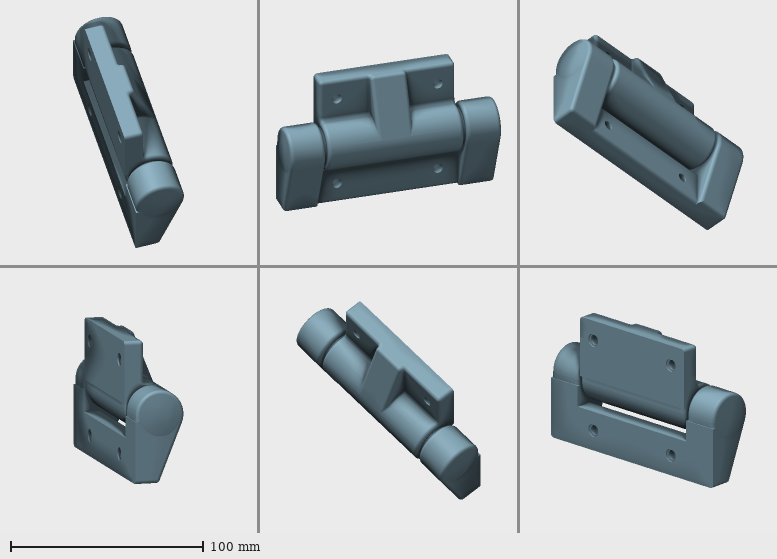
import cadquery as cq
import math

barrel_radius = 13.0
mount_face_y = -13.5
leaf_reach = 36.0
step_height = 3.0
edge_radius = 2.0

knuckle_leaf_length = 115.0
barrel_leaf_length = 74.0
pivot_gap = 1.5
notch_width = barrel_leaf_length + 2 * pivot_gap
notch_floor = -barrel_radius - pivot_gap
knuckle_width = (knuckle_leaf_length - notch_width) / 2
plate_thickness = 10.5
plate_back_y = mount_face_y + plate_thickness

rib_width = 19.5
rib_root_radius = 1.0
barrel_root_radius = 2.0

bushing_radius = 10.0
cap_radius = barrel_radius - edge_radius
total_length = 117.0
cap_height = (total_length - knuckle_leaf_length) / 2

hole_spacing = 55.0
hole_height = 25.0
hole_diameter = 5.3
counterbore_diameter = 7.0
counterbore_depth = 1.0

slope_angle = math.radians(22)
slope_end_y = (barrel_radius - leaf_reach * math.sin(slope_angle)) / math.cos(slope_angle)
tangent_y = barrel_radius * math.cos(slope_angle)
tangent_z = barrel_radius * math.sin(slope_angle)

sides = (-1, 1)

tolerance = 0.01


def extrude_along_pivot(outline, length):
    """Close a YZ outline and extrude it evenly to both sides of the middle plane."""
    return outline.close().extrude(length / 2, both=True)


def near(value, target):
    return abs(value - target) < tolerance


def pick_edges(body, test):
    """Select the edges whose centre and bounding box pass the test."""
    chosen = [edge for edge in body.edges().vals() if test(edge.Center(), edge.BoundingBox())]
    return body.newObject(chosen)


def lies_across(box, x):
    """True for an edge lying in either of the two planes at +x and -x."""
    return near(box.xmin, box.xmax) and near(abs(box.xmin), x)


def drill_mounting_holes(leaf, hole_z):
    """Two counterbored holes through the leaf, opening on the mounting face."""
    for end in sides:
        x = end * hole_spacing / 2
        mount_plane = cq.Plane((x, mount_face_y, hole_z), xDir=(1, 0, 0), normal=(0, -1, 0))
        through = cq.Workplane(mount_plane).circle(hole_diameter / 2).extrude(-2 * leaf_reach)
        counterbore = cq.Workplane(mount_plane).circle(counterbore_diameter / 2).extrude(-counterbore_depth)
        leaf = leaf.cut(through).cut(counterbore)
    return leaf


def make_step_corner(side):
    """Block that keeps the mounting face square below the step, where the knuckle's end rounding stops."""
    depth = -cap_radius - mount_face_y
    height = 2 * edge_radius
    centre_x = side * (notch_width + knuckle_width) / 2
    centre_y = mount_face_y + depth / 2
    centre_z = -step_height - height / 2
    return cq.Workplane("XY", origin=(centre_x, centre_y, centre_z)).box(knuckle_width, depth, height)


def make_knuckle_leaf():
    """Lower leaf: a plate whose thick sloped ends each carry a knuckle, with a notch between them."""
    outline = (
        cq.Workplane("YZ")
        .moveTo(mount_face_y, -leaf_reach)
        .lineTo(mount_face_y, -step_height)
        .lineTo(-barrel_radius, -step_height)
        .lineTo(-barrel_radius, 0)
        .threePointArc((0, barrel_radius), (tangent_y, -tangent_z))
        .lineTo(slope_end_y, -leaf_reach)
    )
    leaf = extrude_along_pivot(outline, knuckle_leaf_length)

    notch = cq.Workplane("XY", origin=(0, 0, notch_floor)).rect(notch_width, 4 * barrel_radius)
    leaf = leaf.cut(notch.extrude(4 * barrel_radius))

    recess = cq.Workplane("XZ", origin=(0, plate_back_y, 0)).rect(notch_width, 4 * leaf_reach)
    leaf = leaf.cut(recess.extrude(-4 * barrel_radius))

    leaf = leaf.edges("|Y and <Z").edges("<X or >X").fillet(edge_radius)

    def on_back_outline(centre, box):
        at_end = lies_across(box, knuckle_leaf_length / 2) or lies_across(box, notch_width / 2)
        on_knuckle_front = near(box.ymax, -barrel_radius) and box.zmin > -step_height - tolerance
        on_round_or_slope = box.ymax > tangent_y - tolerance
        on_bottom_or_floor = near(box.zmax, -leaf_reach) or near(box.zmin, notch_floor)
        parallel_to_pivot = near(box.ymin, box.ymax) and near(box.zmin, box.zmax)
        along_back = parallel_to_pivot and box.ymin > plate_back_y - tolerance
        return (at_end and (on_knuckle_front or on_round_or_slope)) or (along_back and on_bottom_or_floor)

    leaf = pick_edges(leaf, on_back_outline).fillet(edge_radius)

    for side in sides:
        leaf = leaf.union(make_step_corner(side))
    return drill_mounting_holes(leaf, -hole_height)


def make_rib():
    """Sloped rib, its back edges rounded, reaching from the barrel to the outer end of the plate."""
    embedded_y = plate_back_y - edge_radius
    outline = (
        cq.Workplane("YZ")
        .moveTo(embedded_y, 0)
        .lineTo(embedded_y, leaf_reach)
        .lineTo(slope_end_y, leaf_reach)
        .lineTo(tangent_y, tangent_z)
        .lineTo(0, 0)
    )
    rib = extrude_along_pivot(outline, rib_width)

    def on_slope(centre, box):
        return lies_across(box, rib_width / 2) and near(box.ymin, slope_end_y) and near(box.ymax, tangent_y)

    return pick_edges(rib, on_slope).fillet(edge_radius)


def make_plate_with_barrel():
    """Flat plate with the barrel along its lower edge and a fillet where they meet."""
    barrel_root_z = math.sqrt(barrel_radius**2 - plate_back_y**2)
    outline = (
        cq.Workplane("YZ")
        .moveTo(mount_face_y, step_height)
        .lineTo(mount_face_y, leaf_reach)
        .lineTo(plate_back_y, leaf_reach)
        .lineTo(plate_back_y, barrel_root_z)
        .threePointArc((0, -barrel_radius), (-barrel_radius, 0))
        .lineTo(-barrel_radius, step_height)
    )
    plate = extrude_along_pivot(outline, barrel_leaf_length)

    def on_barrel_root(centre, box):
        return near(centre.y, plate_back_y) and near(centre.z, barrel_root_z)

    plate = pick_edges(plate, on_barrel_root).fillet(barrel_root_radius)
    return plate.edges("|Y and >Z").fillet(edge_radius)


def make_barrel_leaf():
    """Upper leaf: a flat plate with a barrel along its lower edge and a sloped central rib."""
    leaf = make_plate_with_barrel().union(make_rib())

    def on_rib_root(centre, box):
        on_plate = near(box.ymin, plate_back_y) and near(box.ymax, plate_back_y)
        return on_plate and lies_across(box, rib_width / 2)

    leaf = pick_edges(leaf, on_rib_root).fillet(rib_root_radius)

    def on_back_outline(centre, box):
        at_end = lies_across(box, barrel_leaf_length / 2)
        behind_step = box.ymin > mount_face_y + tolerance and not near(centre.z, step_height)
        on_top_back = near(box.zmin, leaf_reach) and centre.y > plate_back_y - tolerance
        return (at_end and behind_step) or on_top_back

    leaf = pick_edges(leaf, on_back_outline).fillet(edge_radius)
    return drill_mounting_holes(leaf, hole_height)


def make_bushing(side):
    """Disc filling the gap between the barrel and a knuckle."""
    inner_x = side * barrel_leaf_length / 2
    return cq.Workplane("YZ", origin=(inner_x, 0, 0)).circle(bushing_radius).extrude(side * pivot_gap)


def make_cap(side):
    """Shallow spherical dome on the flat end of a knuckle."""
    base_x = side * knuckle_leaf_length / 2
    sphere_radius = (cap_radius**2 + cap_height**2) / (2 * cap_height)
    half_angle = math.asin(cap_radius / sphere_radius) / 2
    sphere_centre_x = base_x + side * (cap_height - sphere_radius)
    mid_point = (
        sphere_centre_x + side * sphere_radius * math.cos(half_angle),
        sphere_radius * math.sin(half_angle),
    )
    return (
        cq.Workplane("XY")
        .moveTo(base_x, 0)
        .lineTo(base_x, cap_radius)
        .threePointArc(mid_point, (base_x + side * cap_height, 0))
        .close()
        .revolve(360, (0, 0, 0), (1, 0, 0))
    )


knuckle_leaf = make_knuckle_leaf()
barrel_leaf = make_barrel_leaf()
bushings = [make_bushing(side) for side in sides]
caps = [make_cap(side) for side in sides]

result = cq.Compound.makeCompound(
    [
        knuckle_leaf.val(),
        barrel_leaf.val(),
        *[bushing.val() for bushing in bushings],
        *[cap.val() for cap in caps],
    ]
)